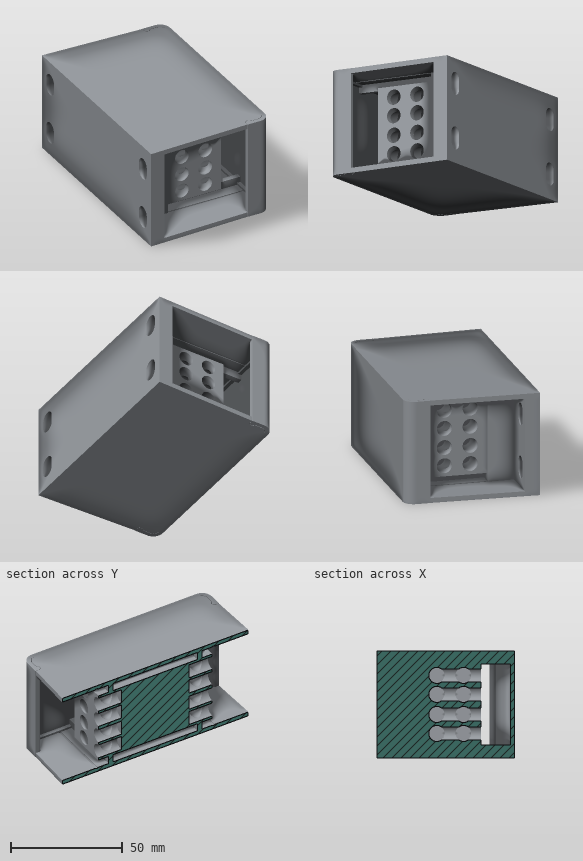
import cadquery as cq


base_width = 100.0
depth = 62.0
height = 48.0

plate_thickness = 2.3
wall_thickness = 7.0
shoulder_y = 50.5
shoulder_width = 96.5
lip_depth = 1.8
lip_height = 1.0

cover_width = 96.8
cover_thickness = 2.0
cover_radius = 5.0
bead_radius = 1.4
bead_protrusion = 1.0
cover_gap = 0.2
end_gap = 0.1
tongue_radius = 3.2

block_length = 60.0
block_height = 36.0
block_top_y = 47.0
pedestal_length = 62.6
pedestal_top_y = 19.1
wire_hole_diameter = 7.0
wire_hole_depth = 12.0
wire_hole_rows_y = (27.0, 39.0)
wire_hole_levels = (-13.0, -4.5, 4.5, 13.0)
screw_hole_diameter = 6.4
screw_inset = 6.4

rib_thickness = 2.6
rib_outer_x = 24.7
groove_width = 1.0
groove_depth = 0.3

slot_width = 7.0
slot_length = 10.5
slot_x = 42.5
slot_z = 12.5

cover_inner_y = depth - cover_thickness
cover_inner_x = cover_width / 2 - cover_thickness
tongue_width = 2 * (cover_inner_x - cover_gap)
cover_end_y = shoulder_y + end_gap
bead_x = cover_inner_x + bead_radius - bead_protrusion
bead_y = cover_end_y + bead_radius
inner_height = height - 2 * plate_thickness
SIDES = (-1, 1)


def span_box(x_range, y_range, z_range):
    """Box between the given limits along each axis."""
    sizes = [limits[1] - limits[0] for limits in (x_range, y_range, z_range)]
    corner = (x_range[0], y_range[0], z_range[0])
    return cq.Workplane("XY").box(*sizes, centered=False).translate(corner)


def centered_box(length, y_range, z_size):
    """Box centred on X and Z."""
    return span_box((-length / 2, length / 2), y_range, (-z_size / 2, z_size / 2))


def beads(radius):
    """Full-height snap beads at the two free ends of the cover."""
    centers = [(side * bead_x, bead_y) for side in SIDES]
    return (
        cq.Workplane("XY")
        .pushPoints(centers)
        .circle(radius)
        .extrude(height / 2, both=True)
    )


def make_tongue():
    """Narrow end of the housing that fits inside the cover."""
    tongue = centered_box(tongue_width, (shoulder_y, cover_inner_y), height)
    tongue = tongue.edges("|Z and >Y").fillet(tongue_radius)
    return tongue.cut(beads(bead_radius + cover_gap))


def make_housing():
    """Tapered body, open from side to side, with a raised lip along the back edge."""
    base_x = base_width / 2
    shoulder_x = shoulder_width / 2
    body = (
        cq.Workplane("XY")
        .polyline([
            (-base_x, 0),
            (base_x, 0),
            (shoulder_x, shoulder_y),
            (-shoulder_x, shoulder_y),
        ])
        .close()
        .extrude(height / 2, both=True)
        .union(make_tongue())
    )
    lip_y = cover_inner_y - lip_depth
    cavity = centered_box(base_width, (wall_thickness, lip_y), inner_height)
    lip_opening = centered_box(base_width, (lip_y, cover_inner_y), inner_height - 2 * lip_height)
    return body.cut(cavity).cut(lip_opening)


def make_cover():
    """U-shaped cover with rounded corners and snap beads."""
    outer = centered_box(cover_width, (cover_end_y, depth), height)
    outer = outer.edges("|Z and >Y").fillet(cover_radius)
    inner = centered_box(2 * cover_inner_x, (cover_end_y, cover_inner_y), height)
    inner = inner.edges("|Z and >Y").fillet(cover_radius - cover_thickness)
    return outer.cut(inner).union(beads(bead_radius))


def make_ribs():
    """Locating ribs standing on both plates, above and below the block."""
    rib_length = 2 * rib_outer_x
    rib_span = (pedestal_top_y, cover_inner_y)
    ribs = centered_box(rib_length, rib_span, inner_height)
    ribs = ribs.cut(centered_box(rib_length - 2 * rib_thickness, rib_span, inner_height))
    return ribs.cut(centered_box(rib_length, rib_span, block_height))


def make_block():
    """Terminal block with blind wire holes on both ends and clamping screw holes."""
    end_x = block_length / 2
    block = centered_box(block_length, (pedestal_top_y, block_top_y), block_height)
    wire_centers = [(y, z) for y in wire_hole_rows_y for z in wire_hole_levels]
    for side in SIDES:
        wire_holes = (
            cq.Workplane("YZ", origin=(side * end_x, 0, 0))
            .pushPoints(wire_centers)
            .circle(wire_hole_diameter / 2)
            .extrude(-side * wire_hole_depth)
        )
        block = block.cut(wire_holes)
    screw_depth = block_top_y - min(wire_hole_rows_y)
    screw_centers = [(side * (end_x - screw_inset), -z) for side in SIDES for z in wire_hole_levels]
    screw_holes = (
        cq.Workplane("XZ", origin=(0, block_top_y, 0))
        .pushPoints(screw_centers)
        .circle(screw_hole_diameter / 2)
        .extrude(screw_depth)
    )
    return block.cut(screw_holes)


def make_grooves():
    """Shallow grooves in both plates, level with the ends of the pedestal."""
    groove_span = (pedestal_top_y, cover_inner_y - lip_depth)
    cut_height = inner_height + 2 * groove_depth
    grooves = centered_box(pedestal_length, groove_span, cut_height)
    return grooves.cut(centered_box(pedestal_length - 2 * groove_width, groove_span, cut_height))


def make_mounting_slots():
    """Four upright slots through the mounting wall."""
    centers = [(x * slot_x, z * slot_z) for x in SIDES for z in SIDES]
    return (
        cq.Workplane("XZ")
        .pushPoints(centers)
        .slot2D(slot_length, slot_width, 90)
        .extrude(-wall_thickness)
    )


pedestal = centered_box(pedestal_length, (wall_thickness, pedestal_top_y), inner_height)

result = (
    make_housing()
    .cut(make_grooves())
    .cut(make_mounting_slots())
    .union(pedestal)
    .union(make_ribs())
    .union(make_block())
    .union(make_cover())
)